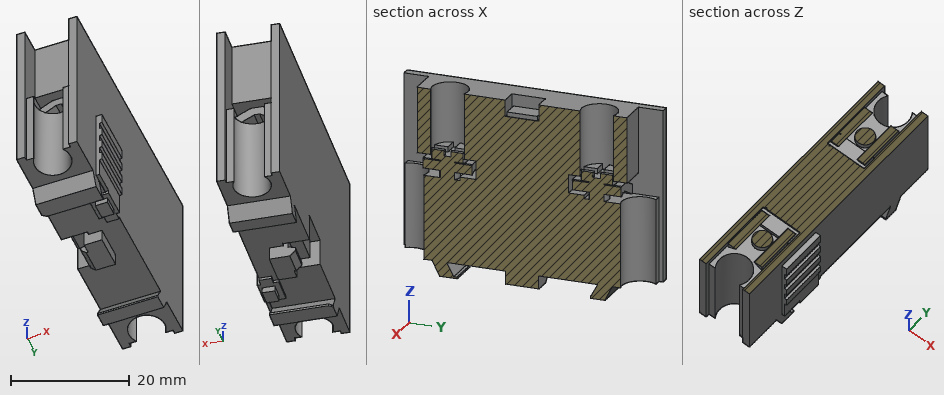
import cadquery as cq


LENGTH = 47.0
WIDTH = 11.0
TOP = 33.8
BOTTOM = 2.7
END = LENGTH / 2
SIDE = WIDTH / 2

SIDE_PLATE = 1.5
ENTRY_WIDTH = WIDTH - 2 * SIDE_PLATE
ENTRY_DEPTH = 4.45
GUIDE_TOP = 18.0
GUIDE_INSET = 0.75
GUIDE_RADIUS = 3.25
GUIDE_CENTRE = 2.65

CHAMBER_TOP = 21.85
CHAMBER_DEPTH = 15.05
PLATE_THICKNESS = 0.6
PLATE_START = 12.2
GROOVE_X = -3.5
GROOVE_WIDTH = 0.15
GROOVE_DEPTH = 0.25

SCREW_INSET = 9.95
SCREW_HOLE_DIAMETER = 6.5
HEAD_DIAMETER = 6.2
HEAD_BOTTOM = 21.1
HEAD_HEIGHT = 1.9
SHAFT_DIAMETER = 3.55
DRIVE_WIDTH = 1.2
DRIVE_DEPTH = 0.95

WASHER_X = -0.1
WASHER_HALF_WIDTH = 3.75
WASHER_DEPTH = 8.95
WASHER_TOP_FLAT = 2.2
WASHER_BOTTOM_FLAT = 0.95
WASHER_APEX = 19.65
WASHER_SHOULDER = 19.75
WASHER_FOOT = 0.25

WINDOW_LEFT = -1.8
WINDOW_RIGHT = 1.65
WINDOW_LENGTH = 6.05
WINDOW_DEPTH = 2.95
INDICATOR_DEPTH = 2.15
INDICATOR_SIDE_GAP = 0.45
INDICATOR_END_GAP = 0.3

NOTCH_LENGTH = 7.25
NOTCH_TOP = 7.7
NOTCH_DEPTH = 4.7
ACTUATOR_LENGTH = WINDOW_LENGTH
ACTUATOR_SETBACK = 1.65
STEM_LEFT = -1.6
ACTUATOR_STEP = 4.0
ACTUATOR_BOTTOM = 0.35
LIP_LENGTH = 4.32
LIP_REACH = 1.3
LIP_TOP = 2.3
LIP_TOP_DROP = 0.38
LIP_BOTTOM_BEVEL = 1.0

HOOK_ROOT_OUTER = 16.35
HOOK_ROOT_INNER = 13.65
HOOK_TIP_OUTER = 15.0
HOOK_TIP_INNER = 12.35
HOOK_LIP = 0.38
TOE_REACH = 11.8
TOE_BEVEL = 0.7

SLIDE_START = -6.05
SLIDE_END = -14.95
SLIDE_TOP = 17.55
SLIDE_BOTTOM = 2.8
SLIDE_THICKNESS = 0.6
TOOTH_REACH = 1.05
TOOTH_BASE = 6.4
TOOTH_PITCH = 3.0
TOOTH_ROOT_GAP = 1.1
TOOTH_BEVEL = 0.2
TOOTH_COUNT = 4

FOOT_START = -4.8
FOOT_END = -10.9
FOOT_BOTTOM = 2.2
FOOT_INNER = 2.35
FOOT_STEP = 0.95
TAB_INNER = 3.3
TAB_START = -7.0
TAB_END = -9.95
TAB_BOTTOM = 1.18


def block(x0, x1, y0, y1, z0, z1):
    """Box given by its limits along the three axes."""
    return (
        cq.Workplane("XY")
        .box(x1 - x0, abs(y1 - y0), z1 - z0, centered=False)
        .translate((x0, min(y0, y1), z0))
    )


def cylinder(diameter, y, z0, z1):
    """Upright cylinder on the X = 0 plane."""
    return cq.Workplane("XY").workplane(offset=z0).center(0, y).circle(diameter / 2).extrude(z1 - z0)


def across_width(points):
    """Y-Z outline extruded over the full width of the housing."""
    return cq.Workplane("YZ").workplane(offset=-SIDE).polyline(points).close().extrude(WIDTH)


def along_length(points, y0, y1):
    """X-Z outline extruded from y0 back to the lower y1."""
    return cq.Workplane("XZ").workplane(offset=-y0).polyline(points).close().extrude(y0 - y1)


def end_cavity():
    """Everything removed at the -Y end: wire entry, wire guide, chamber and screw hole."""
    half = ENTRY_WIDTH / 2
    entry = block(-half, half, -END, -END + ENTRY_DEPTH, GUIDE_TOP, TOP)
    front = block(-half, half, -END, -END + GUIDE_INSET, BOTTOM, GUIDE_TOP)
    guide = cylinder(2 * GUIDE_RADIUS, -END + GUIDE_CENTRE, BOTTOM, GUIDE_TOP)
    back = -END + CHAMBER_DEPTH
    chamber = block(-half, half, -END, back, GUIDE_TOP, CHAMBER_TOP)
    plate_top = GUIDE_TOP + PLATE_THICKNESS
    plate = block(-half, half, -END + PLATE_START, back, GUIDE_TOP, plate_top)
    groove = block(
        GROOVE_X - GROOVE_WIDTH / 2,
        GROOVE_X + GROOVE_WIDTH / 2,
        back,
        back + GROOVE_DEPTH,
        plate_top,
        CHAMBER_TOP,
    )
    screw_hole = cylinder(SCREW_HOLE_DIAMETER, -END + SCREW_INSET, CHAMBER_TOP, TOP)
    return chamber.cut(plate).union(groove).union(entry).union(front).union(guide).union(screw_hole)


def clamp():
    """Screw and V-shaped washer at the -Y end."""
    y = -END + SCREW_INSET
    head_top = HEAD_BOTTOM + HEAD_HEIGHT
    shaft = cylinder(SHAFT_DIAMETER, y, GUIDE_TOP, HEAD_BOTTOM)
    head = cylinder(HEAD_DIAMETER, y, HEAD_BOTTOM, head_top)
    reach = HEAD_DIAMETER / 2
    half_drive = DRIVE_WIDTH / 2
    drive_floor = head_top - DRIVE_DEPTH
    for half_x, half_y in ((reach, half_drive), (half_drive, reach)):
        head = head.cut(block(-half_x, half_x, y - half_y, y + half_y, drive_floor, head_top))

    right_side = [
        (WASHER_TOP_FLAT / 2, HEAD_BOTTOM),
        (WASHER_HALF_WIDTH, WASHER_SHOULDER),
        (WASHER_HALF_WIDTH, GUIDE_TOP),
        (WASHER_HALF_WIDTH - WASHER_FOOT, GUIDE_TOP),
        (WASHER_BOTTOM_FLAT / 2, WASHER_APEX),
    ]
    left_side = [(-x, z) for x, z in reversed(right_side)]
    washer = along_length(right_side + left_side, y + WASHER_DEPTH / 2, y - WASHER_DEPTH / 2)
    return shaft.union(head).union(washer.translate((WASHER_X, 0, 0)))


def window():
    """Pocket in the top around a raised indicator, with a gap on three sides of it."""
    half = WINDOW_LENGTH / 2
    floor = TOP - WINDOW_DEPTH
    inner = half - INDICATOR_END_GAP
    pocket = block(WINDOW_LEFT, WINDOW_RIGHT, -half, half, floor, TOP)
    indicator_right = WINDOW_RIGHT - INDICATOR_SIDE_GAP
    indicator = block(WINDOW_LEFT, indicator_right, -inner, inner, floor, TOP - INDICATOR_DEPTH)
    return pocket.cut(indicator)


def notch():
    """Notch for the actuator, open to -X and to the bottom."""
    half = NOTCH_LENGTH / 2
    return block(-SIDE, -SIDE + NOTCH_DEPTH, -half, half, BOTTOM, NOTCH_TOP)


def actuator():
    """Stepped block in the notch with a lip pointing to -X, sloping on top and bevelled below."""
    half = ACTUATOR_LENGTH / 2
    upper = block(-SIDE + ACTUATOR_SETBACK, STEM_LEFT, -half, half, ACTUATOR_STEP, NOTCH_TOP)
    stem = block(STEM_LEFT, WINDOW_RIGHT, -half, half, ACTUATOR_BOTTOM, NOTCH_TOP)
    lip_edge = STEM_LEFT - LIP_REACH
    lip_outline = [
        (STEM_LEFT, ACTUATOR_BOTTOM),
        (lip_edge + LIP_BOTTOM_BEVEL, ACTUATOR_BOTTOM),
        (lip_edge, ACTUATOR_BOTTOM + LIP_BOTTOM_BEVEL),
        (lip_edge, LIP_TOP - LIP_TOP_DROP),
        (STEM_LEFT, LIP_TOP),
    ]
    lip = along_length(lip_outline, half, half - LIP_LENGTH)
    return upper.union(stem).union(lip)


def hook():
    """Slanted snap hook at the +Y end."""
    return across_width(
        [
            (HOOK_ROOT_OUTER, BOTTOM),
            (HOOK_TIP_OUTER, 0),
            (HOOK_TIP_INNER, 0),
            (HOOK_TIP_INNER, HOOK_LIP),
            (HOOK_ROOT_INNER, BOTTOM),
        ]
    )


def hook_toe():
    """Extra toe on the -Y hook, bevelled at its -X end."""
    toe_length = HOOK_TIP_INNER - TOE_REACH
    outline = [
        (-SIDE, -HOOK_TIP_OUTER),
        (SIDE, -HOOK_TIP_OUTER),
        (SIDE, -TOE_REACH),
        (-SIDE + TOE_BEVEL, -TOE_REACH),
        (-SIDE, -TOE_REACH - toe_length),
    ]
    return cq.Workplane("XY").polyline(outline).close().extrude(HOOK_LIP)


def slide():
    """Plate on the +X side with a column of bevelled teeth."""
    root = SIDE + SLIDE_THICKNESS
    tip = SIDE + TOOTH_REACH
    body = block(SIDE, root, SLIDE_END, SLIDE_START, SLIDE_BOTTOM, SLIDE_TOP)
    for index in range(TOOTH_COUNT):
        low = TOOTH_BASE + index * TOOTH_PITCH
        if index < TOOTH_COUNT - 1:
            high = low + TOOTH_PITCH - TOOTH_ROOT_GAP
            top_corner = high - TOOTH_BEVEL
        else:
            high = SLIDE_TOP
            top_corner = high
        outline = [(root, low), (tip, low + TOOTH_BEVEL), (tip, top_corner), (root, high)]
        body = body.union(along_length(outline + [(SIDE, high), (SIDE, low)], SLIDE_START, SLIDE_END))
    return body


def slide_foot():
    """Plate under the housing that carries the slide, with a tab below it."""
    root = SIDE + SLIDE_THICKNESS
    main = block(FOOT_INNER, SIDE, FOOT_END, SLIDE_START, FOOT_BOTTOM, BOTTOM)
    step = block(FOOT_INNER + FOOT_STEP, SIDE, SLIDE_START, FOOT_START, FOOT_BOTTOM, BOTTOM)
    outer = block(SIDE, root, FOOT_END, SLIDE_START, FOOT_BOTTOM, SLIDE_BOTTOM)
    tab = block(TAB_INNER, SIDE, TAB_END, TAB_START, TAB_BOTTOM, FOOT_BOTTOM)
    return main.union(step).union(outer).union(tab)


housing = block(-SIDE, SIDE, -END, END, BOTTOM, TOP)
for cavity in (end_cavity(), end_cavity().mirror("XZ"), window(), notch()):
    housing = housing.cut(cavity)

result = housing
for piece in (
    clamp(),
    clamp().mirror("XZ"),
    actuator(),
    hook(),
    hook().mirror("XZ"),
    hook_toe(),
    slide(),
    slide_foot(),
):
    result = result.union(piece)